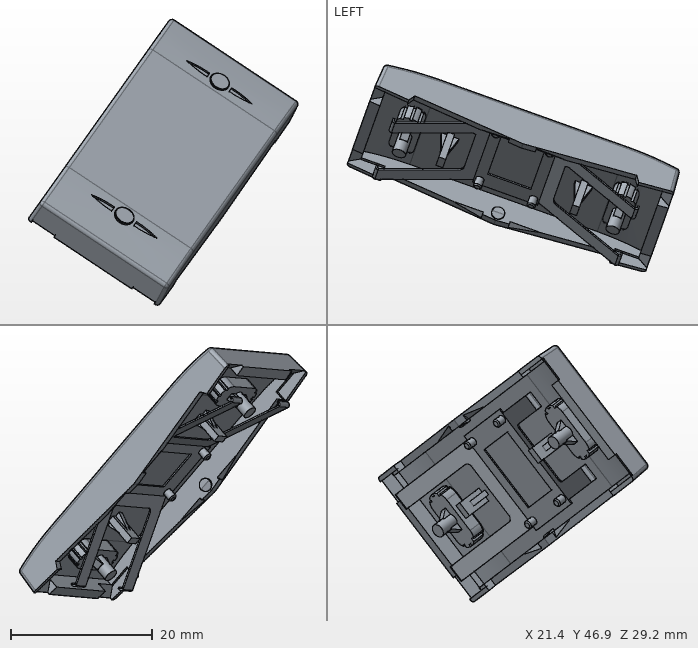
import cadquery as cq
import math


ROLL = 33.0
PITCH = 19.7

TOP_WIDTH = 21.7
TOP_LENGTH = 44.2
DRAFT_X = 0.3
DRAFT_Y = 0.37
FLAT_HALF = 14.05
END_DROP = 0.8
EDGE_RADIUS = 0.55

HINGE_DEPTH = 5.85
STEP_Y = 16.65
STEP_DEPTH = 4.35
TAB_Y = 17.25
TAB_DEPTH = 5.4
RIM_END_DEPTH = 4.87

FLOOR_DEPTH = 1.87
CAVITY_HALF_WIDTH = 9.95
CAVITY_HALF_LENGTH = 20.8
RELIEF_HALF_WIDTH = 10.4
RELIEF_START_DEPTH = 3.55

NOTCH_INNER_X = 6.6
NOTCH_DEEP = 1.4
NOTCH_SHALLOW = 0.3

STUD_DIAMETER = 1.87
STUD_HEIGHT = 0.35
STUD_LIP = 0.1
STUD_ROOT = 0.45
STUD_DEPTH = 4.7
RAMP_START_Y = 2.0
RAMP_END_Y = 6.2
RAMP_DEPTH = 5.25
RAMP_RISE = 0.55

PIN_X = 7.05
PIN_Y = 4.05
PIN_DIAMETER = 1.2
PIN_LENGTH = 1.7
PIN_CHAMFER = 0.2

POST_Y = 10.05
POST_X = -0.15
POST_LENGTH = 2.3
POST_WIDTH = 1.05
POST_DEPTH = 6.33
GUSSET_HALF_WIDTH = 1.3
GUSSET_DEPTH = 4.65
GUSSET_LENGTH = 0.85

GUIDE_Y = 16.03
HEAD_DIAMETER = 2.9
HEAD_RISE = 0.25
HEAD_CHAMFER = 0.1
BLOCK_LENGTH = 9.2
BLOCK_WIDTH = 3.75
BLOCK_TOP_DEPTH = 1.75
BLOCK_DEPTH = 4.05
BLOCK_GROOVE_PITCH = 1.2
BLOCK_GROOVE_WIDTH = 0.37
BLOCK_GROOVE_DEPTH = 0.37
STEM_DIAMETER = 1.95
STEM_DEPTH = 7.2
BRACE_WIDTH = 1.15
BRACE_DEPTH = 5.5
BRACE_REACH = 0.95

MARK_INNER_X = 1.87
MARK_OUTER_X = 5.55
MARK_WIDTH = 0.9
MARK_BELLY = 0.75
MARK_DEPTH = 0.35

SHEET = 0.25
PLATE_HALF_WIDTH = 8.4
BEND_Y = 4.87
WINDOW_X = 5.15
WINDOW_Y = 3.25
ARM_INNER_X = 5.1
ARM_OUTER_X = 7.7
ARM_START_Y = 6.7
FORK_RADIUS = 0.7
ARM_END_Y = 18.0
ARM_SLOPE = 23.0
LIP_HEIGHT = 0.75
LIP_RADIUS = 0.45

SIDES = (-1, 1)
ENDS = (-1, 1)

CURVE_LENGTH = TOP_LENGTH / 2 + DRAFT_Y - FLAT_HALF
CURVE_RADIUS = (CURVE_LENGTH**2 + END_DROP**2) / (2 * END_DROP)
HALF_LENGTH = FLAT_HALF + CURVE_LENGTH


def box(x0, x1, y0, y1, z0, z1):
    """Box between two corners given in any order."""
    size = (abs(x1 - x0), abs(y1 - y0), abs(z1 - z0))
    return cq.Workplane().box(*size).translate(((x0 + x1) / 2, (y0 + y1) / 2, (z0 + z1) / 2))


def along_x(outline, width):
    """Body with a closed (y, z) outline and the given width centred on x = 0."""
    return outline.close().extrude(width / 2, both=True)


def domed_profile(depth):
    """Open (y, z) outline of the domed outer face lowered by a depth, from +Y to -Y."""
    radius = CURVE_RADIUS - depth
    end_angle = math.asin(CURVE_LENGTH / CURVE_RADIUS)
    end_y = FLAT_HALF + radius * math.sin(end_angle)
    end_z = radius * math.cos(end_angle) - CURVE_RADIUS
    middle_y = FLAT_HALF + radius * math.sin(end_angle / 2)
    middle_z = radius * math.cos(end_angle / 2) - CURVE_RADIUS
    return (
        cq.Workplane("YZ")
        .moveTo(end_y, end_z)
        .threePointArc((middle_y, middle_z), (FLAT_HALF, -depth))
        .lineTo(-FLAT_HALF, -depth)
        .threePointArc((-middle_y, middle_z), (-end_y, end_z))
    )


def cover_blank():
    """Solid outer form: drafted block under the domed face, with its visible edges rounded."""
    drafted = (
        cq.Workplane()
        .rect(TOP_WIDTH, TOP_LENGTH)
        .workplane(offset=-HINGE_DEPTH)
        .rect(TOP_WIDTH + 2 * DRAFT_X, TOP_LENGTH + 2 * DRAFT_Y)
        .loft()
    )
    outline = domed_profile(0).lineTo(-HALF_LENGTH, -HINGE_DEPTH).lineTo(HALF_LENGTH, -HINGE_DEPTH)
    blank = drafted.intersect(along_x(outline, 2 * TOP_WIDTH))
    above_base = cq.selectors.BoxSelector(
        (-TOP_WIDTH, -TOP_LENGTH, -HINGE_DEPTH + 0.05), (TOP_WIDTH, TOP_LENGTH, 0.45)
    )
    creases = cq.selectors.BoxSelector((-0.45, -FLAT_HALF - 0.45, -0.45), (0.45, FLAT_HALF + 0.45, 0.45))
    return blank.edges(above_base - creases).fillet(EDGE_RADIUS)


def rim_envelope():
    """Everything above the stepped lower rim of the walls."""
    half = [(STEP_Y, -STEP_DEPTH), (TAB_Y, -TAB_DEPTH), (HALF_LENGTH, -RIM_END_DEPTH), (HALF_LENGTH, 0.45)]
    outline = cq.Workplane("YZ").moveTo(0, -HINGE_DEPTH)
    for y, z in half:
        outline = outline.lineTo(y, z)
    for y, z in reversed(half):
        outline = outline.lineTo(-y, z)
    return along_x(outline, 2 * TOP_WIDTH)


def cavity():
    """Hollow underside, widened near the rim in its four corners."""
    outline = domed_profile(FLOOR_DEPTH).lineTo(-HALF_LENGTH, -2 * HINGE_DEPTH)
    outline = outline.lineTo(HALF_LENGTH, -2 * HINGE_DEPTH)
    hollow = along_x(outline, 2 * CAVITY_HALF_WIDTH)
    hollow = hollow.intersect(
        box(-TOP_WIDTH, TOP_WIDTH, -CAVITY_HALF_LENGTH, CAVITY_HALF_LENGTH, -2 * HINGE_DEPTH, 0)
    )
    for end in ENDS:
        relief = box(
            -RELIEF_HALF_WIDTH, RELIEF_HALF_WIDTH,
            end * TAB_Y, end * CAVITY_HALF_LENGTH,
            -2 * HINGE_DEPTH, -RELIEF_START_DEPTH,
        )
        hollow = hollow.union(relief)
    return hollow


def end_notch(side, end):
    """Sloped notch in the rim of an end wall, beside a corner."""
    outline = (
        cq.Workplane("YZ")
        .moveTo(end * CAVITY_HALF_LENGTH, NOTCH_DEEP - RIM_END_DEPTH)
        .lineTo(end * HALF_LENGTH, NOTCH_SHALLOW - RIM_END_DEPTH)
        .lineTo(end * HALF_LENGTH, -HINGE_DEPTH)
        .lineTo(end * CAVITY_HALF_LENGTH, -HINGE_DEPTH)
        .close()
    )
    width = RELIEF_HALF_WIDTH - NOTCH_INNER_X
    middle = side * (RELIEF_HALF_WIDTH + NOTCH_INNER_X) / 2
    return outline.extrude(width / 2, both=True).translate((middle, 0, 0))


def hinge_stud(side):
    """Short stud on a side wall whose lower half is bevelled down towards the wall."""
    wall = side * CAVITY_HALF_WIDTH
    tip = wall - side * STUD_HEIGHT
    radius = STUD_DIAMETER / 2
    lip = wall - side * STUD_LIP
    stud = (
        cq.Workplane("YZ")
        .circle(radius)
        .extrude(-side * (STUD_HEIGHT + STUD_ROOT))
        .translate((wall + side * STUD_ROOT, 0, -STUD_DEPTH))
    )
    bevel = (
        cq.Workplane("XZ")
        .polyline([(tip, -STUD_DEPTH), (lip, -STUD_DEPTH - radius), (tip, -STUD_DEPTH - radius)])
        .close()
        .extrude(STUD_DIAMETER, both=True)
    )
    return stud.cut(bevel)


def lead_in_ramp(side, end):
    """Ramp that thins the rim of a side wall next to its hinge stud."""
    outer = TOP_WIDTH / 2 + DRAFT_X
    ramp = (
        cq.Workplane("XZ")
        .polyline(
            [
                (side * CAVITY_HALF_WIDTH, -RAMP_DEPTH),
                (side * outer, -RAMP_DEPTH - RAMP_RISE),
                (side * outer, -HINGE_DEPTH),
                (side * CAVITY_HALF_WIDTH, -HINGE_DEPTH),
            ]
        )
        .close()
        .extrude(RAMP_END_Y - RAMP_START_Y)
    )
    start = RAMP_END_Y if end > 0 else -RAMP_START_Y
    return ramp.translate((0, start, 0))


def rivet_pin(side, end):
    """Pin standing on the cavity floor that holds the spring."""
    pin = cq.Workplane().circle(PIN_DIAMETER / 2).extrude(-PIN_LENGTH).faces("<Z").chamfer(PIN_CHAMFER)
    return pin.translate((side * PIN_X, end * PIN_Y, -FLOOR_DEPTH))


def stop_post(end):
    """Flat post on the cavity floor, braced by a gusset."""
    post = box(
        POST_X - POST_LENGTH / 2, POST_X + POST_LENGTH / 2,
        -POST_WIDTH / 2, POST_WIDTH / 2,
        -POST_DEPTH, -FLOOR_DEPTH,
    )
    gusset = (
        cq.Workplane("YZ")
        .moveTo(-GUSSET_HALF_WIDTH, -FLOOR_DEPTH)
        .lineTo(GUSSET_HALF_WIDTH, -FLOOR_DEPTH)
        .lineTo(POST_WIDTH / 2, -GUSSET_DEPTH)
        .lineTo(-POST_WIDTH / 2, -GUSSET_DEPTH)
        .close()
        .extrude(GUSSET_LENGTH / 2, both=True)
        .translate((POST_X, 0, 0))
    )
    return post.union(gusset).translate((0, end * POST_Y, 0))


def pointer_mark(side, end):
    """Shallow pointed recess in the outer face, its tip away from the light guide."""
    half = MARK_WIDTH / 2
    belly = MARK_BELLY / 2
    middle_x = (MARK_INNER_X + MARK_OUTER_X) / 2
    outline = (
        cq.Workplane()
        .moveTo(side * MARK_INNER_X, -half)
        .lineTo(side * MARK_INNER_X, half)
        .threePointArc((side * middle_x, belly), (side * MARK_OUTER_X, 0))
        .threePointArc((side * middle_x, -belly), (side * MARK_INNER_X, -half))
        .close()
    )
    return outline.extrude(-MARK_DEPTH).translate((0, end * GUIDE_Y, 0))


def block_groove(side, y):
    """Upright groove in a rounded end of a light guide block."""
    half_width = BLOCK_GROOVE_WIDTH / 2
    surface_x = (BLOCK_LENGTH - BLOCK_WIDTH) / 2 + math.sqrt((BLOCK_WIDTH / 2) ** 2 - y**2)
    return box(
        side * (surface_x - BLOCK_GROOVE_DEPTH), side * BLOCK_LENGTH,
        y - half_width, y + half_width,
        -BLOCK_DEPTH, -BLOCK_TOP_DEPTH,
    )


def light_guide(end):
    """Round window head through the cover, on an obround block with a braced stem below it."""
    head = (
        cq.Workplane()
        .workplane(offset=-BLOCK_TOP_DEPTH)
        .circle(HEAD_DIAMETER / 2)
        .extrude(BLOCK_TOP_DEPTH + HEAD_RISE)
        .faces(">Z")
        .chamfer(HEAD_CHAMFER)
    )
    block = (
        cq.Workplane()
        .workplane(offset=-BLOCK_DEPTH)
        .slot2D(BLOCK_LENGTH, BLOCK_WIDTH)
        .extrude(BLOCK_DEPTH - BLOCK_TOP_DEPTH)
    )
    for side in SIDES:
        for groove_y in (-BLOCK_GROOVE_PITCH, 0, BLOCK_GROOVE_PITCH):
            block = block.cut(block_groove(side, groove_y))
    stem = (
        cq.Workplane()
        .workplane(offset=-STEM_DEPTH)
        .circle(STEM_DIAMETER / 2)
        .extrude(STEM_DEPTH - BLOCK_DEPTH)
    )
    brace_foot = STEM_DIAMETER / 2 + BRACE_REACH
    brace = (
        cq.Workplane("XZ")
        .polyline(
            [
                (-brace_foot, -BLOCK_DEPTH),
                (-STEM_DIAMETER / 2, -BRACE_DEPTH),
                (STEM_DIAMETER / 2, -BRACE_DEPTH),
                (brace_foot, -BLOCK_DEPTH),
            ]
        )
        .close()
        .extrude(BRACE_WIDTH / 2, both=True)
    )
    return head.union(block).union(stem).union(brace).translate((0, end * GUIDE_Y, 0))


def leaf_spring():
    """Riveted plate with a window and four sloping arms that end in upturned lips."""
    plate_z = -FLOOR_DEPTH - SHEET
    slope = math.tan(math.radians(ARM_SLOPE))
    rise = SHEET / math.cos(math.radians(ARM_SLOPE))
    spring = box(-PLATE_HALF_WIDTH, PLATE_HALF_WIDTH, -BEND_Y, BEND_Y, plate_z, -FLOOR_DEPTH)
    tip_z = plate_z - slope * (ARM_END_Y - BEND_Y)
    lip_y = ARM_END_Y + LIP_RADIUS
    bulge_y = ARM_END_Y + LIP_RADIUS * math.sin(math.pi / 4)
    bulge_z = tip_z + LIP_RADIUS * (1 - math.cos(math.pi / 4))
    for end in ENDS:
        leaf = (
            cq.Workplane("YZ")
            .moveTo(end * BEND_Y, -FLOOR_DEPTH)
            .lineTo(end * BEND_Y, plate_z)
            .lineTo(end * ARM_END_Y, tip_z)
            .threePointArc((end * bulge_y, bulge_z), (end * lip_y, tip_z + LIP_RADIUS))
            .lineTo(end * lip_y, tip_z + LIP_HEIGHT)
            .lineTo(end * (lip_y - SHEET), tip_z + LIP_HEIGHT)
            .lineTo(end * (lip_y - SHEET), tip_z + LIP_RADIUS)
            .lineTo(end * ARM_END_Y, tip_z + rise)
            .close()
            .extrude(ARM_OUTER_X, both=True)
        )
        fork = box(
            -ARM_INNER_X, ARM_INNER_X,
            end * ARM_START_Y, end * 2 * ARM_END_Y,
            2 * tip_z, 0,
        ).edges("|Z").fillet(FORK_RADIUS)
        spring = spring.union(leaf.cut(fork))
    window = box(-WINDOW_X, WINDOW_X, -WINDOW_Y, WINDOW_Y, 2 * plate_z, 0)
    return spring.cut(window)


def tilted(body):
    """Body turned from the flat modelling position to its final attitude."""
    return body.rotate((0, 0, 0), (0, 1, 0), ROLL).rotate((0, 0, 0), (1, 0, 0), PITCH)


guides = [light_guide(end) for end in ENDS]

cover = cover_blank().intersect(rim_envelope()).cut(cavity())
spring = leaf_spring()
for side in SIDES:
    cover = cover.union(hinge_stud(side))
    for end in ENDS:
        cover = cover.cut(end_notch(side, end)).cut(lead_in_ramp(side, end)).cut(pointer_mark(side, end))
        pin = rivet_pin(side, end)
        cover = cover.union(pin)
        spring = spring.cut(pin)
for end in ENDS:
    hole = cq.Workplane().circle(HEAD_DIAMETER / 2).extrude(-BLOCK_TOP_DEPTH).translate((0, end * GUIDE_Y, 0))
    cover = cover.union(stop_post(end)).cut(hole)
for guide in guides:
    cover = cover.cut(guide)

bodies = [cover, spring, *guides]
result = cq.Compound.makeCompound([tilted(body).val() for body in bodies])